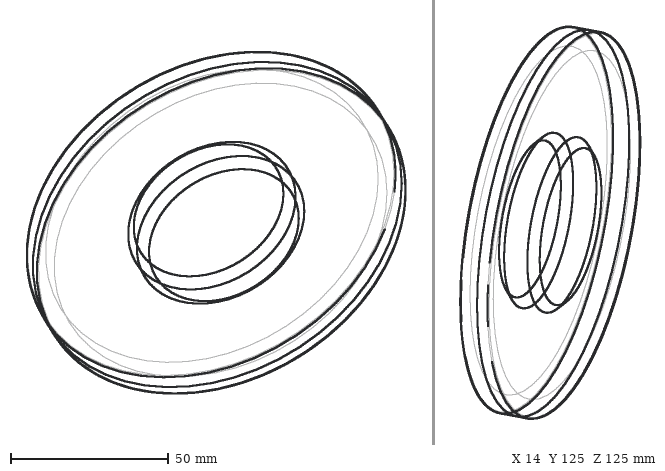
import cadquery as cq

RIM_RADIUS = 62.5
RIM_THICKNESS = 10.0
RIM_FILLET = 0.4
SPLIT_X = 1.0

WEB_RADIUS = 56.4
WEB_DEPTH = 1.0
BOSS_TOP_RADIUS = 25.4
BOSS_PROJECTION = 2.0

RIM_X = RIM_THICKNESS / 2
WEB_X = RIM_X - WEB_DEPTH
BOSS_X = RIM_X + BOSS_PROJECTION
BOSS_BASE_RADIUS = BOSS_TOP_RADIUS + BOSS_X - WEB_X


def round_rim(half, side):
    """Round the outer rim edge, leaving the joint edge sharp."""
    rim_edge = cq.selectors.BoxSelector(
        (side * (RIM_X - RIM_FILLET), -RIM_RADIUS, -RIM_RADIUS),
        (side * (RIM_X + RIM_FILLET), RIM_RADIUS, RIM_RADIUS),
    )
    return half.edges("%CIRCLE").edges(rim_edge).fillet(RIM_FILLET)


def make_half(side):
    """Revolve one half of the disc; side is -1 or +1 along X."""
    profile = (
        cq.Workplane("XY")
        .moveTo(SPLIT_X, 0)
        .lineTo(SPLIT_X, RIM_RADIUS)
        .lineTo(side * RIM_X, RIM_RADIUS)
        .lineTo(side * WEB_X, WEB_RADIUS)
        .lineTo(side * WEB_X, BOSS_BASE_RADIUS)
        .lineTo(side * BOSS_X, BOSS_TOP_RADIUS)
        .lineTo(side * BOSS_X, 0)
        .close()
    )
    half = profile.revolve(360, (0, 0, 0), (1, 0, 0))
    return round_rim(half, side)


thick_half = make_half(-1)
thin_half = make_half(1)

result = cq.Compound.makeCompound([thick_half.val(), thin_half.val()])